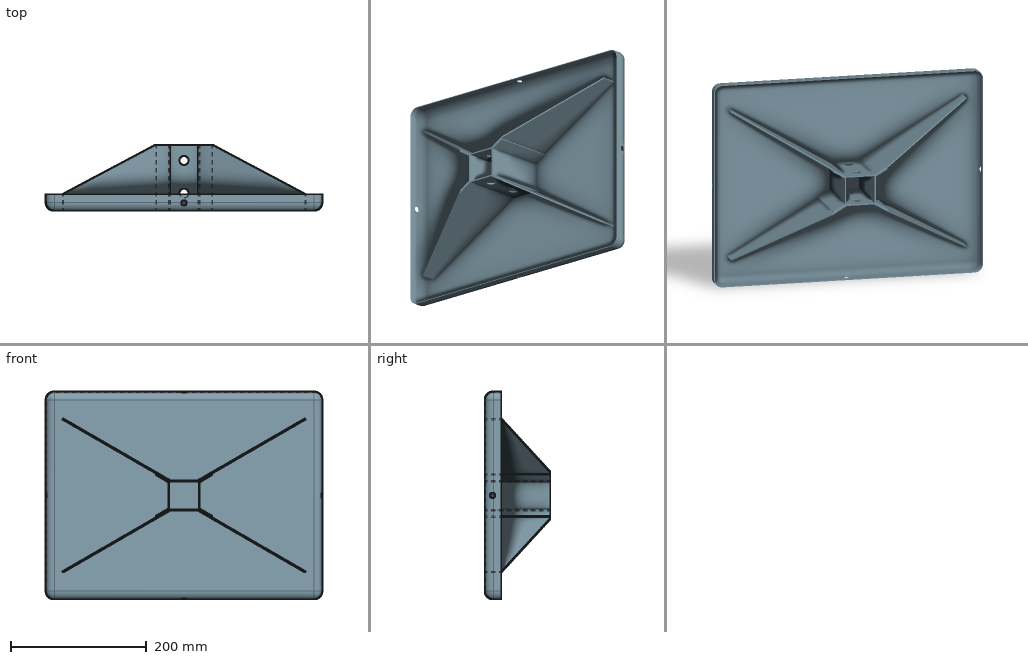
import cadquery as cq
import math

TRAY_WIDTH = 408.0
TRAY_HEIGHT = 306.5
TRAY_DEPTH = 25.0
TRAY_WALL = 1.02
EDGE_RADIUS = 12.5
WALL_HOLE_DIAMETER = 8.0
WALL_HOLE_DEPTH = 12.0

TOTAL_DEPTH = 97.0
FLANGE_ANGLE = 30.0

LONG_SHEET = 2.0
LONG_HALF_WIDTH = 20.5
LONG_RISE = 22.5
LONG_FLANGE = 182.0
LONG_FLANGE_CREST = 25.0
PANEL_HOLE_DIAMETER = 13.0
PANEL_HOLE_INSET = 23.0
PANEL_HOLE_SPACING = 48.0

SIDE_SHEET = 2.0
SIDE_HALF_WIDTH = 19.5
SIDE_BEND_RADIUS = 1.0
SIDE_FLANGE_TIP = 32.0

ANGLE = math.radians(FLANGE_ANGLE)
SIDE_BEND_ANGLE = math.pi / 2 - ANGLE
SIDE_RISE = LONG_HALF_WIDTH + (
    SIDE_HALF_WIDTH - LONG_RISE + (LONG_SHEET + SIDE_SHEET) / math.cos(ANGLE)
) / math.tan(ANGLE)
SIDE_FLANGE = (SIDE_FLANGE_TIP - SIDE_HALF_WIDTH - SIDE_SHEET * math.cos(ANGLE)) / math.sin(ANGLE)


def rounded_block(width, height, front, back, radius):
    """Block between two depths with its front and corner edges rounded."""
    block = cq.Workplane("XZ", origin=(0, front, 0)).rect(width, height).extrude(front - back)
    return block.edges("|Y").fillet(radius).faces("<Y").edges().fillet(radius)


def make_tray():
    """Hollow tray with a small hole through the middle of each side wall."""
    outside = rounded_block(TRAY_WIDTH, TRAY_HEIGHT, 0, TRAY_DEPTH, EDGE_RADIUS)
    cavity = rounded_block(
        TRAY_WIDTH - 2 * TRAY_WALL, TRAY_HEIGHT - 2 * TRAY_WALL, TRAY_WALL, TRAY_DEPTH, EDGE_RADIUS - TRAY_WALL
    )
    tray = outside.cut(cavity)
    for plane, span in (("XY", TRAY_HEIGHT), ("YZ", TRAY_WIDTH)):
        drill = (
            cq.Workplane(plane, origin=(0, WALL_HOLE_DEPTH, 0))
            .circle(WALL_HOLE_DIAMETER / 2)
            .extrude(span, both=True)
        )
        tray = tray.cut(drill)
    return tray


def bent_sheet(half_width, rise, angle, flange, sheet):
    """Sheet with a flat panel facing +Z and two flanges bent towards +Z."""
    inner_bend = half_width + sheet * math.tan(angle / 2)
    tip_x = half_width + flange * math.cos(angle)
    tip_z = rise + flange * math.sin(angle)
    right_side = [
        (inner_bend, rise - sheet),
        (tip_x + sheet * math.sin(angle), tip_z - sheet * math.cos(angle)),
        (tip_x, tip_z),
        (half_width, rise),
    ]
    left_side = [(-x, z) for x, z in reversed(right_side)]
    return (
        cq.Workplane("XZ", origin=(0, TRAY_WALL, 0))
        .polyline(right_side + left_side)
        .close()
        .extrude(TRAY_WALL - TOTAL_DEPTH)
    )


def flange_taper():
    """Wedge that slopes the back edge of the +X long flange down to the tray rim."""
    flange_plane = cq.Plane(
        origin=(LONG_HALF_WIDTH, 0, LONG_RISE),
        xDir=(math.cos(ANGLE), 0, math.sin(ANGLE)),
        normal=(-math.sin(ANGLE), 0, math.cos(ANGLE)),
    )
    return (
        cq.Workplane(flange_plane)
        .moveTo(LONG_FLANGE_CREST, TOTAL_DEPTH)
        .lineTo(LONG_FLANGE, TRAY_DEPTH)
        .lineTo(LONG_FLANGE, TOTAL_DEPTH)
        .close()
        .extrude(2 * LONG_SHEET, both=True)
    )


def make_long_bracket():
    """Upper bracket: drilled panel and two long tapered flanges."""
    bracket = bent_sheet(LONG_HALF_WIDTH, LONG_RISE, ANGLE, LONG_FLANGE, LONG_SHEET)
    taper = flange_taper()
    bracket = bracket.cut(taper).cut(taper.mirror("YZ"))
    back_hole = TOTAL_DEPTH - PANEL_HOLE_INSET
    drill = (
        cq.Workplane("XY")
        .pushPoints([(0, back_hole), (0, back_hole - PANEL_HOLE_SPACING)])
        .circle(PANEL_HOLE_DIAMETER / 2)
        .extrude(2 * LONG_RISE)
    )
    return bracket.cut(drill)


def make_side_bracket():
    """Short bracket, before it is turned to a side: plain panel and two short flanges."""
    bracket = bent_sheet(SIDE_HALF_WIDTH, SIDE_RISE, SIDE_BEND_ANGLE, SIDE_FLANGE, SIDE_SHEET)
    middle = (0, TOTAL_DEPTH / 2, SIDE_RISE)
    hollow_bends = [(x, middle[1], SIDE_RISE) for x in (-SIDE_HALF_WIDTH, SIDE_HALF_WIDTH)]
    for bend in hollow_bends:
        bracket = bracket.edges(cq.selectors.NearestToPointSelector(bend)).fillet(SIDE_BEND_RADIUS)
    return bracket


def turned(body, degrees):
    """Body turned about the Y axis through the centre."""
    return body.rotate((0, 0, 0), (0, 1, 0), degrees)


tray = make_tray()
long_brackets = [turned(make_long_bracket(), degrees) for degrees in (0, 180)]
side_brackets = [turned(make_side_bracket(), degrees) for degrees in (90, 270)]

result = cq.Compound.makeCompound(
    [tray.val()] + [bracket.val() for bracket in long_brackets + side_brackets]
)